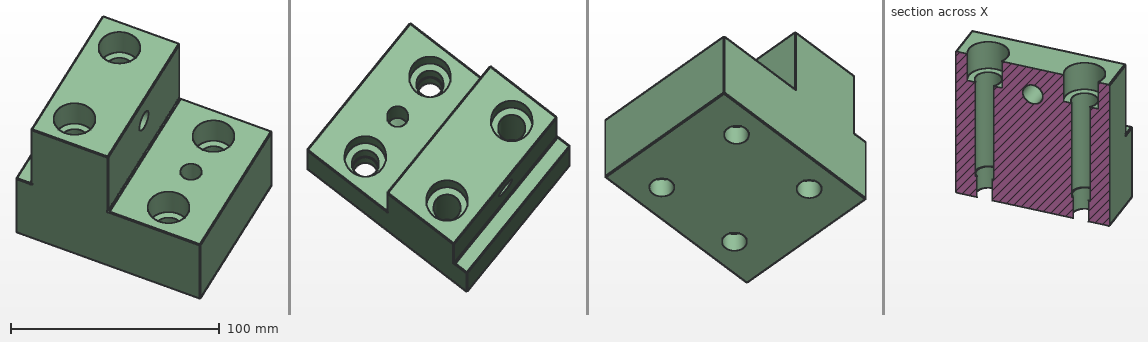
import cadquery as cq
import math

length = 98.0
width = 80.0
height = 80.0
edge_chamfer = 0.5

shoulder_height = height / 2
shelf_width = 8.0
tower_left = shelf_width - length / 2
tower_right = 0.0
relief_radius = 0.7

bolt_spacing = 50.0
lower_bore_diameter = 12.0
lower_bore_height = 12.0
clearance_diameter = 13.0
counterbore_diameter = 20.0
counterbore_depth = 15.0

tap_diameter = 10.2
tap_depth = 25.0
tap_tip_angle = 118.0
cross_hole_drop = 15.0


def stepped_block():
    base = cq.Workplane("XY").box(length, width, shoulder_height, centered=(True, True, False))
    tower = (
        cq.Workplane("XY")
        .box(tower_right - tower_left, width, height, centered=(False, True, False))
        .translate((tower_left, 0, 0))
    )
    return base.union(tower)


def chamfer_outer_edges(body):
    """Break every edge except the two inside corners at the foot of the tower."""
    foot_corners = cq.selectors.BoxSelector(
        (tower_left - relief_radius, -relief_radius, shoulder_height - relief_radius),
        (tower_right + relief_radius, relief_radius, shoulder_height + relief_radius),
    )
    all_edges = cq.selectors.BoxSelector((-length, -width, -height), (length, width, 2 * height))
    return body.edges(all_edges - foot_corners).chamfer(edge_chamfer)


def corner_relief(x):
    """Round undercut along Y in an inside corner at the foot of the tower."""
    return (
        cq.Workplane("XZ", origin=(x, width / 2, shoulder_height))
        .circle(relief_radius)
        .extrude(width)
    )


def drill(x, y, z, diameter, depth):
    """Vertical cylinder reaching down from the point (x, y, z)."""
    return cq.Workplane("XY", origin=(x, y, z)).circle(diameter / 2).extrude(-depth)


def bolt_hole(x, y, top):
    """Through hole in three steps: counterbore, clearance bore, narrower lower bore."""
    return (
        drill(x, y, top, lower_bore_diameter, top)
        .union(drill(x, y, top, clearance_diameter, top - lower_bore_height))
        .union(drill(x, y, top, counterbore_diameter, counterbore_depth))
    )


def blind_tap_hole(x, top):
    """Blind hole ending in a conical drill tip."""
    tip_depth = tap_diameter / 2 / math.tan(math.radians(tap_tip_angle / 2))
    tip = cq.Solid.makeCone(
        tap_diameter / 2, 0, tip_depth,
        pnt=cq.Vector(x, 0, top - tap_depth), dir=cq.Vector(0, 0, -1),
    )
    return drill(x, 0, top, tap_diameter, tap_depth).union(cq.Workplane(tip))


def tower_cross_hole():
    return (
        cq.Workplane("YZ", origin=(tower_left, 0, height - cross_hole_drop))
        .circle(tap_diameter / 2)
        .extrude(tower_right - tower_left)
    )


result = chamfer_outer_edges(stepped_block())

for corner_x in (tower_left, tower_right):
    result = result.cut(corner_relief(corner_x))

offset = bolt_spacing / 2
for y in (-offset, offset):
    result = result.cut(bolt_hole(-offset, y, height))
    result = result.cut(bolt_hole(offset, y, shoulder_height))

result = result.cut(blind_tap_hole(offset, shoulder_height))
result = result.cut(tower_cross_hole())